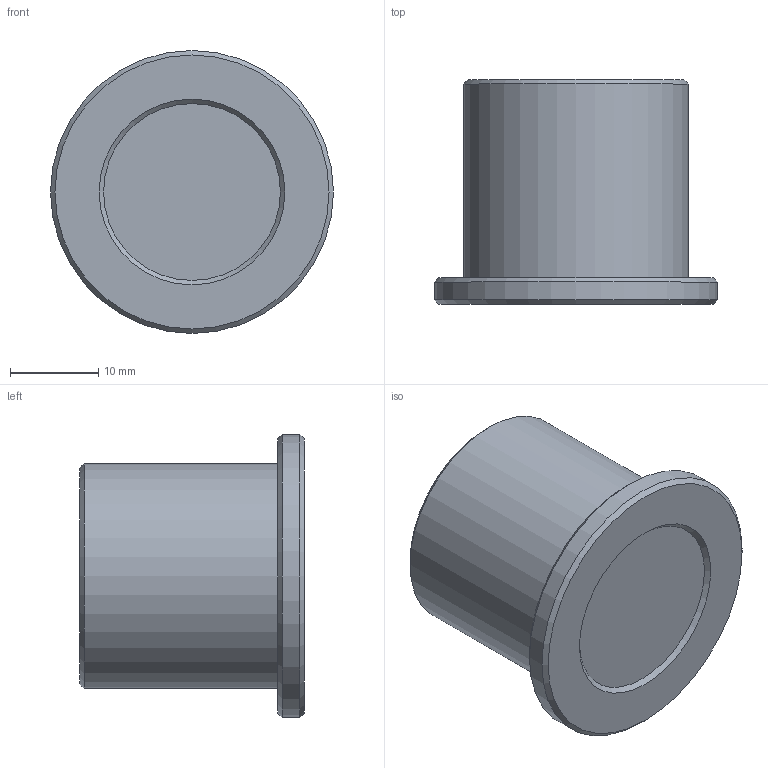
import cadquery as cq

flange_diameter = 32.0
flange_thickness = 3.0
body_diameter = 25.4
total_length = 25.4
edge_chamfer = 0.5

recess_floor_diameter = 20.0
recess_depth = 0.5
recess_mouth_diameter = recess_floor_diameter + 2 * recess_depth


def disc(diameter, length):
    """Cylinder along +Y starting at the flange face, Y = 0."""
    return cq.Workplane("XZ").circle(diameter / 2).extrude(-length)


def make_flange():
    """Flange disc with both rims chamfered."""
    return disc(flange_diameter, flange_thickness).edges("%CIRCLE").chamfer(edge_chamfer)


def make_body():
    """Cylindrical body with its free end chamfered."""
    return disc(body_diameter, total_length).faces(">Y").edges().chamfer(edge_chamfer)


def make_recess():
    """Cone frustum cut into the flange face, narrowing to the floor at 45 degrees."""
    return (
        cq.Workplane("XY")
        .moveTo(0, 0)
        .lineTo(recess_mouth_diameter / 2, 0)
        .lineTo(recess_floor_diameter / 2, recess_depth)
        .lineTo(0, recess_depth)
        .close()
        .revolve(360, (0, 0, 0), (0, 1, 0))
    )


result = make_flange().union(make_body()).cut(make_recess())